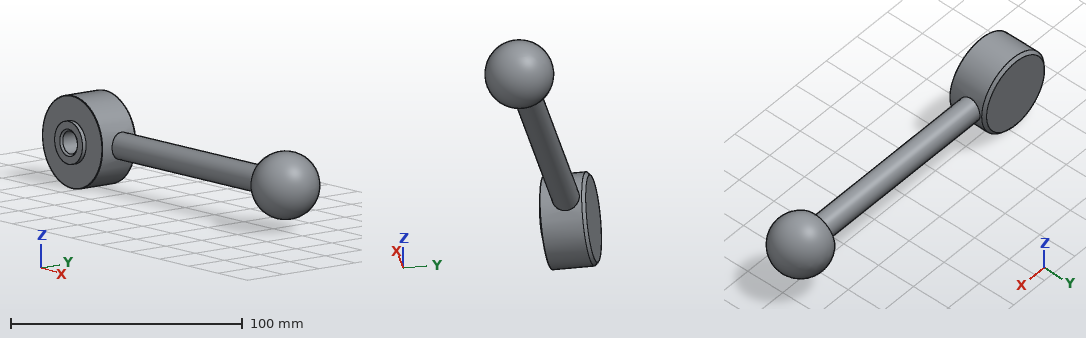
import cadquery as cq

overall_length = 166.5
hub_diameter = 41.0
hub_front = 11.5
hub_back = 8.5
back_chamfer = 1.5
front_chamfer = 0.25
boss_diameter = 19.0
boss_height = 2.0
bore_diameter = 10.2
bore_mouth_diameter = 12.0
bore_depth = 15.0
rod_diameter = 12.0
ball_diameter = 29.8
ball_length = 24.0

hub_radius = hub_diameter / 2
boss_face = hub_front + boss_height
bore_radius = bore_diameter / 2
mouth_radius = bore_mouth_diameter / 2
mouth_depth = mouth_radius - bore_radius
ball_radius = ball_diameter / 2
ball_tip = overall_length - hub_radius
ball_center = ball_tip - ball_radius
ball_flat = ball_tip - ball_length


def revolve_about_hub_axis(profile):
    """Turn a list of (radius, y) points into a solid around the Y axis."""
    return cq.Workplane("XY").polyline(profile).close().revolve(360, (0, 0, 0), (0, 1, 0))


def make_hub():
    """Disc with both edges chamfered and a low boss on its front (-Y) face."""
    return revolve_about_hub_axis([
        (0, hub_back),
        (hub_radius - back_chamfer, hub_back),
        (hub_radius, hub_back - back_chamfer),
        (hub_radius, -hub_front + front_chamfer),
        (hub_radius - front_chamfer, -hub_front),
        (boss_diameter / 2, -hub_front),
        (boss_diameter / 2, -boss_face),
        (0, -boss_face),
    ])


def make_bore():
    """Blind bore with a 45 degree countersunk mouth, opening on the boss."""
    return revolve_about_hub_axis([
        (0, -boss_face),
        (mouth_radius, -boss_face),
        (bore_radius, -boss_face + mouth_depth),
        (bore_radius, -boss_face + bore_depth),
        (0, -boss_face + bore_depth),
    ])


def make_rod():
    """Round rod from the hub axis into the middle of the ball."""
    return cq.Workplane("YZ").circle(rod_diameter / 2).extrude(ball_center)


def make_ball():
    """Ball knob cut flat on the side facing the hub."""
    keep = (
        cq.Workplane("YZ")
        .workplane(offset=ball_flat)
        .rect(ball_diameter, ball_diameter)
        .extrude(ball_length)
    )
    ball = cq.Workplane("YZ").workplane(offset=ball_center).sphere(ball_radius)
    return ball.intersect(keep)


result = make_hub().union(make_rod()).union(make_ball()).cut(make_bore())